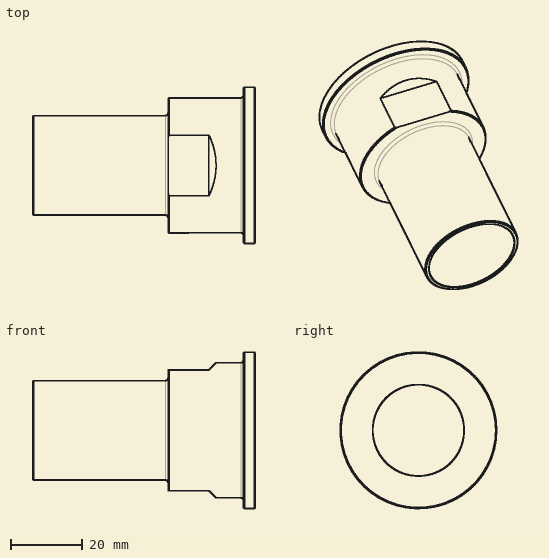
import cadquery as cq

total_length = 62.5
tube_length = 38.0
flange_thickness = 3.3
flange_start = total_length - flange_thickness

bore_diameter = 25.6
tube_diameter = 28.0
collar_diameter = 38.0
flange_diameter = 44.0

across_flats = 34.0
flat_length = 11.5
flat_depth = (collar_diameter - across_flats) / 2

root_fillet = 0.8
edge_chamfer = 0.3
bore_chamfer = 0.15


def outer_body():
    """Tube, collar and flange with chamfered rims and filleted roots."""
    tube_radius = tube_diameter / 2
    collar_radius = collar_diameter / 2
    flange_radius = flange_diameter / 2
    profile = (
        cq.Workplane("XY")
        .moveTo(0, 0)
        .lineTo(0, tube_radius - edge_chamfer)
        .lineTo(edge_chamfer, tube_radius)
        .lineTo(tube_length - root_fillet, tube_radius)
        .radiusArc((tube_length, tube_radius + root_fillet), -root_fillet)
        .lineTo(tube_length, collar_radius - edge_chamfer)
        .lineTo(tube_length + edge_chamfer, collar_radius)
        .lineTo(flange_start - root_fillet, collar_radius)
        .radiusArc((flange_start, collar_radius + root_fillet), -root_fillet)
        .lineTo(flange_start, flange_radius - edge_chamfer)
        .lineTo(flange_start + edge_chamfer, flange_radius)
        .lineTo(total_length - edge_chamfer, flange_radius)
        .lineTo(total_length, flange_radius - edge_chamfer)
        .lineTo(total_length, 0)
        .close()
    )
    return profile.revolve(360, (0, 0, 0), (1, 0, 0))


def flat_cutter(side):
    """Cutter for one wrench flat with a 45 degree run-out; side is +1 (top) or -1 (bottom)."""
    flat_height = side * across_flats / 2
    collar_height = side * collar_diameter / 2
    flat_end = tube_length + flat_length
    return (
        cq.Workplane("XZ")
        .moveTo(tube_length, flat_height)
        .lineTo(flat_end, flat_height)
        .lineTo(flat_end + flat_depth, collar_height)
        .lineTo(tube_length, collar_height)
        .close()
        .extrude(collar_diameter / 2, both=True)
    )


def bore():
    """Through bore that widens in a small chamfer at the tube end."""
    bore_radius = bore_diameter / 2
    profile = (
        cq.Workplane("XY")
        .moveTo(0, 0)
        .lineTo(0, bore_radius + bore_chamfer)
        .lineTo(bore_chamfer, bore_radius)
        .lineTo(total_length, bore_radius)
        .lineTo(total_length, 0)
        .close()
    )
    return profile.revolve(360, (0, 0, 0), (1, 0, 0))


result = outer_body()
for side in (1, -1):
    result = result.cut(flat_cutter(side))
result = result.cut(bore())